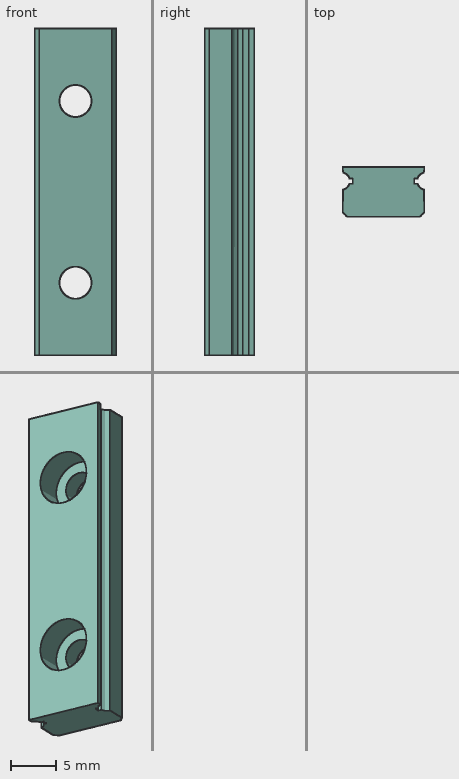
import cadquery as cq
import math

width = 9.0
height = 5.5
length = 36.0

half_width = width / 2
base_y = -height / 2
top_y = height / 2
base_chamfer = 0.5

flank_taper_start_depth = 3.5
flank_taper_end_depth = 4.5
flank_relief = 0.02

groove_radius = 0.95
groove_axis_offset = 0.16
groove_axis_depth = 1.57
groove_axis_x = half_width + groove_axis_offset
groove_axis_y = top_y - groove_axis_depth

bevel_start_depth = 0.36
bevel_end_depth = 0.65

relief_width = 0.56
relief_inset = 1.1

hole_diameter = 3.5
counterbore_diameter = 6.0
counterbore_depth = 3.3
hole_pitch = 20.0
hole_positions_z = (-hole_pitch / 2, hole_pitch / 2)


def groove_x(y):
    """X of the right-hand groove arc at height y."""
    return groove_axis_x - math.sqrt(groove_radius**2 - (y - groove_axis_y) ** 2)


def groove_midpoint(start_y, end_y):
    """Point on the right-hand groove arc midway in height between two ends."""
    y = (start_y + end_y) / 2
    return groove_x(y), y


def make_right_half():
    """Right half of the rail, extruded along its full length."""
    bevel_end_y = top_y - bevel_end_depth
    relief_top_y = groove_axis_y + relief_width / 2
    relief_bottom_y = groove_axis_y - relief_width / 2
    relief_x = half_width - relief_inset
    mid_flank_x = half_width - flank_relief
    groove_end_y = groove_axis_y - math.sqrt(groove_radius**2 - (groove_axis_x - mid_flank_x) ** 2)

    return (
        cq.Workplane("XY")
        .workplane(offset=-length / 2)
        .moveTo(0, top_y)
        .lineTo(half_width, top_y)
        .lineTo(half_width, top_y - bevel_start_depth)
        .lineTo(groove_x(bevel_end_y), bevel_end_y)
        .threePointArc(
            groove_midpoint(bevel_end_y, relief_top_y),
            (groove_x(relief_top_y), relief_top_y),
        )
        .lineTo(relief_x, relief_top_y)
        .lineTo(relief_x, relief_bottom_y)
        .lineTo(groove_x(relief_bottom_y), relief_bottom_y)
        .threePointArc(
            groove_midpoint(relief_bottom_y, groove_end_y),
            (mid_flank_x, groove_end_y),
        )
        .lineTo(mid_flank_x, top_y - flank_taper_start_depth)
        .lineTo(half_width, top_y - flank_taper_end_depth)
        .lineTo(half_width, base_y + base_chamfer)
        .lineTo(half_width - base_chamfer, base_y)
        .lineTo(0, base_y)
        .close()
        .extrude(length)
    )


def make_rail():
    right_half = make_right_half()
    return right_half.union(right_half.mirror("YZ")).clean()


def cut_mounting_holes(rail):
    """Cut the counterbored holes, entering from the +Y face."""
    into_rail = cq.Vector(0, -1, 0)
    for z in hole_positions_z:
        entry = cq.Vector(0, top_y, z)
        through_hole = cq.Solid.makeCylinder(hole_diameter / 2, height, entry, into_rail)
        counterbore = cq.Solid.makeCylinder(counterbore_diameter / 2, counterbore_depth, entry, into_rail)
        rail = rail.cut(through_hole).cut(counterbore)
    return rail


result = cut_mounting_holes(make_rail())